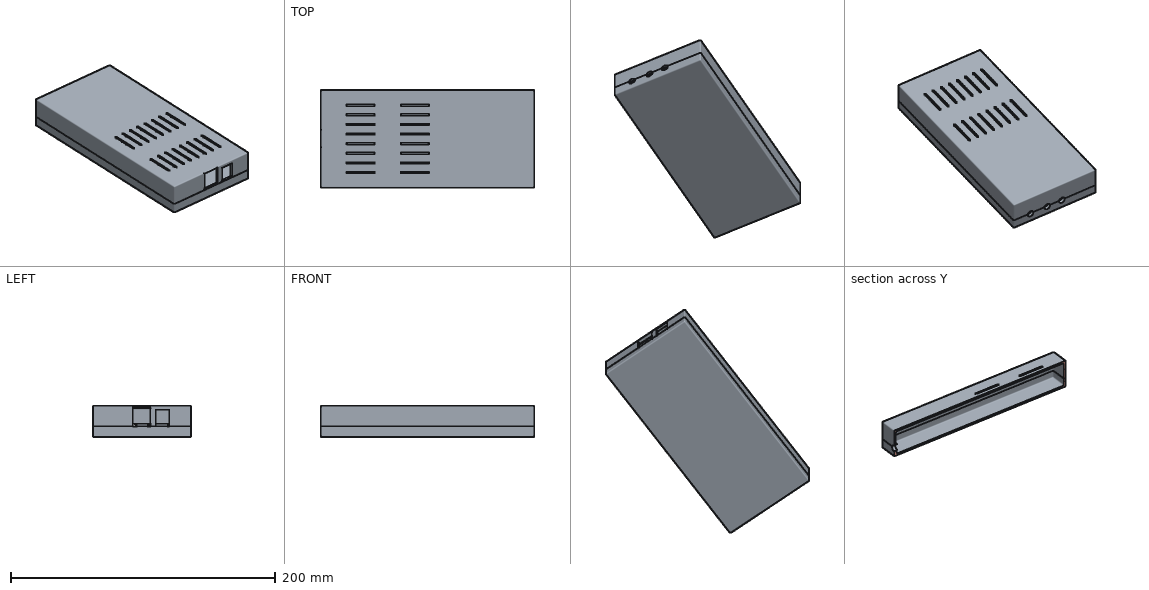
import cadquery as cq

LENGTH = 161.8
WIDTH = 74.2
HEIGHT = 24.0
SPLIT_HEIGHT = 8.2
WALL = 2.1
EDGE_RADIUS = 1.0

CAVITY_LENGTH = LENGTH - 2 * WALL
CAVITY_WIDTH = WIDTH - 2 * WALL

LIP_RISE = 2.0
LIP_THICKNESS = 1.0
LIP_WIDTH = CAVITY_WIDTH - 2 * EDGE_RADIUS

SLOT_LENGTH = 21.7
SLOT_WIDTH = 1.3
SLOT_PITCH = 7.3
SLOTS_PER_COLUMN = 8
SLOT_COLUMN_X = (-50.6, -9.5)

LARGE_WINDOW_WIDTH = 13.3
LARGE_WINDOW_TOP = HEIGHT - EDGE_RADIUS
LARGE_WINDOW_Y = 0.3
SMALL_WINDOW_WIDTH = 10.0
SMALL_WINDOW_TOP = HEIGHT - WALL - EDGE_RADIUS
SMALL_WINDOW_Y = -15.5
WINDOW_DEPTH = WALL + EDGE_RADIUS

HOLE_DIAMETER = 5.0
HOLE_DROP = 0.6
HOLE_Y = (6.3, -6.8, -21.8)
HOLE_DEPTH = WALL + LIP_THICKNESS


def block(length, width, bottom, top, x=0.0, y=0.0):
    """Box centred on (x, y) between two heights."""
    height = top - bottom
    return cq.Workplane("XY").box(length, width, height).translate((x, y, bottom + height / 2))


def hollow_case():
    """Closed shell of the whole case, rounded along every outer and inner edge."""
    outside = block(LENGTH, WIDTH, 0, HEIGHT).edges().fillet(EDGE_RADIUS)
    cavity = block(CAVITY_LENGTH, CAVITY_WIDTH, WALL, HEIGHT - WALL).edges().fillet(EDGE_RADIUS)
    return outside.cut(cavity)


def lip():
    x = CAVITY_LENGTH / 2 - LIP_THICKNESS / 2
    return block(LIP_THICKNESS, LIP_WIDTH, WALL, SPLIT_HEIGHT + LIP_RISE, x)


def window(width, top, y):
    x = -LENGTH / 2 + WINDOW_DEPTH / 2
    return block(WINDOW_DEPTH, width, SPLIT_HEIGHT, top, x, y)


def vent_slots():
    first_y = -SLOT_PITCH * (SLOTS_PER_COLUMN - 1) / 2
    centers = [(x, first_y + row * SLOT_PITCH) for x in SLOT_COLUMN_X for row in range(SLOTS_PER_COLUMN)]
    roof = cq.Workplane("XY", origin=(0, 0, HEIGHT - WALL))
    return roof.pushPoints(centers).slot2D(SLOT_LENGTH, SLOT_WIDTH).extrude(WALL)


def end_holes():
    wall = cq.Workplane("YZ", origin=(LENGTH / 2 - HOLE_DEPTH, 0, SPLIT_HEIGHT - HOLE_DROP))
    return wall.pushPoints([(y, 0) for y in HOLE_Y]).circle(HOLE_DIAMETER / 2).extrude(HOLE_DEPTH)


def make_base():
    lower_half = hollow_case().intersect(block(LENGTH, WIDTH, 0, SPLIT_HEIGHT))
    return lower_half.union(lip()).cut(end_holes())


def make_cover():
    upper_half = hollow_case().intersect(block(LENGTH, WIDTH, SPLIT_HEIGHT, HEIGHT))
    large_window = window(LARGE_WINDOW_WIDTH, LARGE_WINDOW_TOP, LARGE_WINDOW_Y)
    small_window = window(SMALL_WINDOW_WIDTH, SMALL_WINDOW_TOP, SMALL_WINDOW_Y)
    return upper_half.cut(large_window).cut(small_window).cut(vent_slots()).cut(end_holes())


base = make_base()
cover = make_cover()
result = cq.Compound.makeCompound([base.solids().val(), cover.solids().val()])